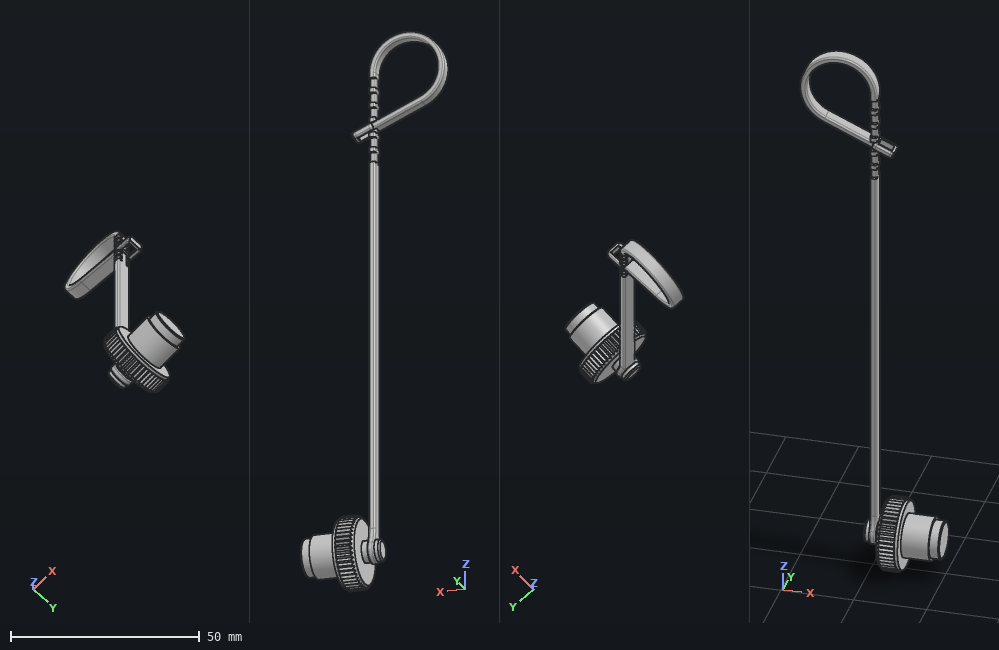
import cadquery as cq
import math


TOTAL_HEIGHT = 154

STRAP_THICK = 1.8
STRAP_WIDTH = 4.2
EDGE_RADIUS = 0.5

EYE_DIAMETER = 7.0
SHOULDER_RADIUS = 9.2

NECK_WIDTH = 2.3
RIB_HEIGHT = 1.4
RIB_PITCH = 4.2
RIB_COUNT = 6

LOOP_DIAMETER = 21.1
TAIL_SLOPE = 24
TAIL_LENGTH = 20.8
HEAD_LENGTH = 6.3
HEAD_WIDTH = 5.1
HEAD_CORNER = 1.1
SLOT_LENGTH = 4.0
SLOT_WIDTH = 2.8
SLOT_RIM = 1.0

PIN_TIP_X = -2.5
GRIP_START_X = 2.6
TEETH_END_X = 7.7
GRIP_END_X = 8.6
BARREL_END_X = 16.2
NOSE_END_X = 19.0

PIN_DIAMETER = 6.0
PIN_CHAMFER = 0.5
TEETH_DIAMETER = 20.0
TEETH_ROOT_DIAMETER = 18.8
TEETH_COUNT = 48
GRIP_CHAMFER = 1.1
BARREL_DIAMETER = 12.0
NOSE_DIAMETER = 10.5
NOSE_CHAMFER = 0.3

LOOP_MID_RADIUS = (LOOP_DIAMETER - STRAP_THICK) / 2
LOOP_CENTRE_X = -LOOP_MID_RADIUS
LOOP_CENTRE_Z = TOTAL_HEIGHT - (TEETH_DIAMETER + LOOP_DIAMETER) / 2
NECK_START = LOOP_CENTRE_Z - RIB_COUNT * RIB_PITCH


def disc(diameter, start_x, end_x):
    return cq.Workplane("YZ", origin=(start_x, 0, 0)).circle(diameter / 2).extrude(end_x - start_x)


def strap_block(width, bottom, top):
    """Upright piece of strap with rounded long edges."""
    return (
        cq.Workplane("XY", origin=(0, 0, bottom))
        .rect(STRAP_THICK, width)
        .extrude(top - bottom)
        .edges("|Z")
        .fillet(EDGE_RADIUS)
    )


def make_shaft():
    """Plain strap running from the eye to the neck, with concave shoulders at the eye."""
    eye_radius = EYE_DIAMETER / 2
    half_width = STRAP_WIDTH / 2
    shoulder_y = half_width + SHOULDER_RADIUS
    shoulder_z = math.sqrt((eye_radius + SHOULDER_RADIUS) ** 2 - shoulder_y**2)
    joint_angle = math.atan2(shoulder_z, shoulder_y)
    joint = (eye_radius * math.cos(joint_angle), eye_radius * math.sin(joint_angle))
    middle = (
        shoulder_y - SHOULDER_RADIUS * math.cos(joint_angle / 2),
        shoulder_z - SHOULDER_RADIUS * math.sin(joint_angle / 2),
    )
    outline = (
        cq.Workplane("YZ", origin=(-STRAP_THICK / 2, 0, 0))
        .moveTo(half_width, NECK_START)
        .lineTo(half_width, shoulder_z)
        .threePointArc(middle, joint)
        .threePointArc((0, -eye_radius), (-joint[0], joint[1]))
        .threePointArc((-middle[0], middle[1]), (-half_width, shoulder_z))
        .lineTo(-half_width, NECK_START)
        .close()
    )
    shaft = outline.extrude(STRAP_THICK)
    return shaft.faces("<X or >X").edges("not >Z").fillet(EDGE_RADIUS)


def make_neck():
    neck = strap_block(NECK_WIDTH, NECK_START - RIB_HEIGHT, LOOP_CENTRE_Z)
    for number in range(1, RIB_COUNT + 1):
        rib_top = NECK_START + number * RIB_PITCH
        neck = neck.union(strap_block(STRAP_WIDTH, rib_top - RIB_HEIGHT, rib_top))
    return neck


def make_loop_and_tail():
    """Loop curling over towards -X, then a straight tail back across the neck to the head."""
    slope = math.radians(TAIL_SLOPE)
    turn = math.pi * 1.5 - slope

    def on_loop(angle):
        return (
            LOOP_CENTRE_X + LOOP_MID_RADIUS * math.cos(angle),
            LOOP_CENTRE_Z + LOOP_MID_RADIUS * math.sin(angle),
        )

    tail_start = on_loop(turn)
    tail_end = (
        tail_start[0] + TAIL_LENGTH * math.cos(slope),
        tail_start[1] - TAIL_LENGTH * math.sin(slope),
    )
    path = (
        cq.Workplane("XZ")
        .moveTo(0, LOOP_CENTRE_Z)
        .threePointArc(on_loop(turn / 2), tail_start)
        .lineTo(*tail_end)
    )
    section = cq.Sketch().rect(STRAP_THICK, STRAP_WIDTH).vertices().fillet(EDGE_RADIUS)
    strap = cq.Workplane("XY", origin=(0, 0, LOOP_CENTRE_Z)).placeSketch(section).sweep(path)

    head = (
        cq.Workplane("XY", origin=(-HEAD_LENGTH / 2, 0, 0))
        .box(HEAD_LENGTH, HEAD_WIDTH, STRAP_THICK)
        .edges("|Z")
        .fillet(HEAD_CORNER)
        .faces("<Z or >Z")
        .edges()
        .fillet(EDGE_RADIUS)
    )
    slot_centre = -SLOT_RIM - SLOT_LENGTH / 2
    slot = cq.Workplane("XY", origin=(slot_centre, 0, 0)).box(SLOT_LENGTH, SLOT_WIDTH, 2 * STRAP_THICK)

    def onto_tail(body):
        tilted = body.rotate((0, 0, 0), (0, 1, 0), TAIL_SLOPE)
        return tilted.translate((tail_end[0], 0, tail_end[1]))

    return strap.union(onto_tail(head)).cut(onto_tail(slot))


def make_grip():
    """Straight-knurled grip: a toothed ring over a plain disc, bevelled at the strap side."""
    pitch_angle = 2 * math.pi / TEETH_COUNT
    tip_radius = TEETH_DIAMETER / 2
    root_radius = TEETH_ROOT_DIAMETER / 2
    points = []
    for tooth in range(TEETH_COUNT):
        centre = tooth * pitch_angle
        for angle, radius in (
            (centre, tip_radius),
            (centre + pitch_angle / 2, root_radius),
        ):
            points.append((radius * math.cos(angle), radius * math.sin(angle)))
    teeth = (
        cq.Workplane("YZ", origin=(GRIP_START_X, 0, 0))
        .polyline(points)
        .close()
        .extrude(TEETH_END_X - GRIP_START_X)
    )
    envelope = disc(TEETH_DIAMETER, GRIP_START_X, GRIP_END_X).faces("<X").chamfer(GRIP_CHAMFER)
    return disc(TEETH_ROOT_DIAMETER, GRIP_START_X, GRIP_END_X).union(teeth).intersect(envelope)


def make_knob():
    pin = disc(PIN_DIAMETER, PIN_TIP_X, GRIP_START_X).faces("<X").chamfer(PIN_CHAMFER)
    barrel = disc(BARREL_DIAMETER, GRIP_END_X, BARREL_END_X)
    nose = disc(NOSE_DIAMETER, BARREL_END_X, NOSE_END_X).faces(">X").chamfer(NOSE_CHAMFER)
    return make_grip().union(pin).union(barrel).union(nose)


result = make_shaft().union(make_neck()).union(make_loop_and_tail()).union(make_knob())